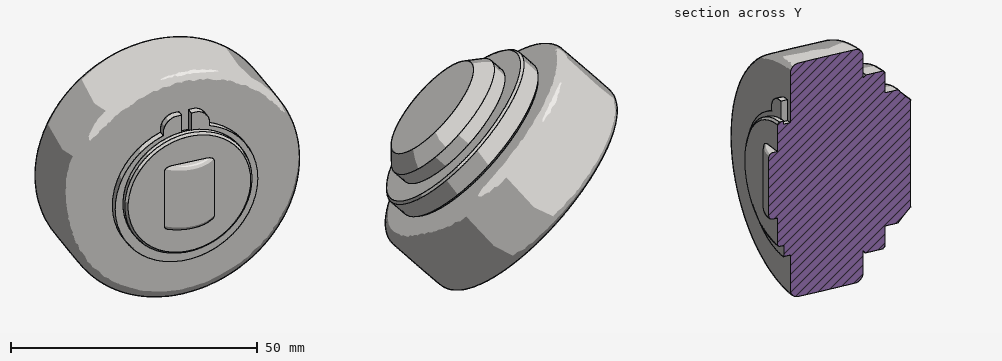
import cadquery as cq
import math

stub_chamfer = 3.0
flange_start = 6.0
roller_start = 11.0
roller_end = 28.0
clip_thickness = 1.5
shaft_end = 31.0
total_length = 33.0

stub_diameter = 30.0
flange_diameter = 40.0
flange_chamfer = 0.5
roller_diameter = 52.5
roller_crown_radius = 500.0
roller_edge_radius = 2.0
shaft_diameter = 28.0
shaft_chamfer = 0.5
groove_diameter = 26.6

clip_outer_radius = 15.7
clip_bottom = 16.5
clip_offset = clip_bottom - clip_outer_radius
ear_top = 17.95
ear_half_width = 5.1
ear_flat_half_width = 2.5
ear_shoulder = 14.75
ear_gap = 2.1

key_radius = 8.5
key_length = 15.0
key_edge_radius = 1.0


def disc(start, end, diameter):
    """Cylinder on the X axis between two stations."""
    return cq.Workplane("YZ", origin=(start, 0, 0)).circle(diameter / 2).extrude(end - start)


def make_stub():
    return disc(0, flange_start, stub_diameter).faces("<X").chamfer(stub_chamfer)


def make_flange():
    return disc(flange_start, roller_start, flange_diameter).edges("%CIRCLE").chamfer(flange_chamfer)


def make_roller():
    """Roller with a slightly crowned rim and rounded edges."""
    half_width = (roller_end - roller_start) / 2
    middle = roller_start + half_width
    top = roller_diameter / 2
    crown_drop = roller_crown_radius - math.sqrt(roller_crown_radius**2 - half_width**2)
    edge = top - crown_drop
    profile = (
        cq.Workplane("XZ")
        .moveTo(roller_start, 0)
        .lineTo(roller_start, edge)
        .threePointArc((middle, top), (roller_end, edge))
        .lineTo(roller_end, 0)
        .close()
    )
    roller = profile.revolve(360, (0, 0, 0), (1, 0, 0))
    return roller.faces("<X or >X").edges().fillet(roller_edge_radius)


def make_shaft():
    """Grooved shaft end that carries the clip."""
    clip_end = roller_end + clip_thickness
    groove = disc(roller_end, clip_end, groove_diameter)
    end = disc(clip_end, shaft_end, shaft_diameter).faces(">X").chamfer(shaft_chamfer)
    return groove.union(end)


def make_clip():
    """Eccentric ring with two round-shouldered ears and a gap between them."""
    plane = cq.Workplane("YZ", origin=(roller_end, 0, 0))
    ring = plane.center(0, -clip_offset).circle(clip_outer_radius).extrude(clip_thickness)

    arc_width = ear_half_width - ear_flat_half_width
    arc_height = ear_top - ear_shoulder
    shoulder_radius = (arc_width**2 + arc_height**2) / (2 * arc_width)
    half_angle = math.asin(arc_height / shoulder_radius) / 2
    mid_y = ear_half_width - shoulder_radius * (1 - math.cos(half_angle))
    mid_z = ear_shoulder + shoulder_radius * math.sin(half_angle)
    ears = (
        plane.moveTo(-ear_half_width, 0)
        .lineTo(-ear_half_width, ear_shoulder)
        .threePointArc((-mid_y, mid_z), (-ear_flat_half_width, ear_top))
        .lineTo(ear_flat_half_width, ear_top)
        .threePointArc((mid_y, mid_z), (ear_half_width, ear_shoulder))
        .lineTo(ear_half_width, 0)
        .close()
        .extrude(clip_thickness)
    )
    gap = plane.center(0, ear_top / 2).rect(ear_gap, ear_top).extrude(clip_thickness)
    return ring.union(ears).cut(gap)


def make_key():
    """Disc on a vertical axis, mostly buried in the shaft."""
    key = cq.Workplane("XY", origin=(total_length - key_radius, 0, -key_length / 2))
    return key.circle(key_radius).extrude(key_length).edges("%CIRCLE").fillet(key_edge_radius)


result = (
    make_stub()
    .union(make_flange())
    .union(make_roller())
    .union(make_clip())
    .union(make_shaft())
    .union(make_key())
)